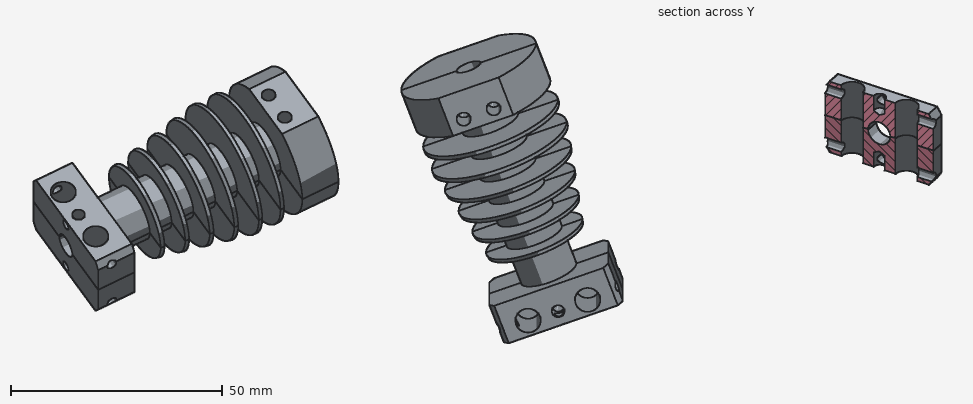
import cadquery as cq
import math


length = 65.0
outer_diameter = 34.0
bore_diameter = 6.0
barrel_diameter = 14.0

block_length = 10.0
block_width = 30.0
block_height = 20.0

cap_length = 10.0
cap_height = 30.4

fin_count = 6
fin_thickness = 1.0
fin_gap = 5.0
fin_span = 30.0
taper_end_diameter = 24.0

cross_hole_diameter = 6.0
cross_hole_spacing = 15.0
cross_hole_y = 3.8
pocket_diameter = 3.0
pocket_depth = 4.0
pocket_y = 3.5
screw_hole_diameter = 2.5
front_screw_z = 8.3
side_screw_z = 7.5

cap_hole_diameter = 3.3
cap_hole_spacing = 7.55
cap_hole_depth = 6.0
cap_hole_inset = 3.05

drill_point_angle = 118.0

outer_radius = outer_diameter / 2
cap_front_y = length - cap_length
first_fin_back_y = cap_front_y - fin_gap
fin_pitch = fin_span / (fin_count - 1)
taper_start_y = first_fin_back_y - fin_pitch - fin_thickness
taper_end_y = first_fin_back_y - fin_span - fin_thickness

AXIS = cq.Vector(0, 1, 0)


def rod(diameter, start_y, rod_length):
    """Cylinder around the Y axis."""
    return cq.Workplane(cq.Solid.makeCylinder(diameter / 2, rod_length, cq.Vector(0, start_y, 0), AXIS))


def slab(width, start_y, slab_length, height):
    """Box centred on the Y axis."""
    return cq.Workplane("XY").box(width, slab_length, height).translate((0, start_y + slab_length / 2, 0))


def drilled_hole(diameter, depth, mouth, direction):
    """Blind hole with a conical drill point, cut from the mouth along the direction."""
    radius = diameter / 2
    axis = cq.Vector(*direction)
    start = cq.Vector(*mouth)
    point_length = radius / math.tan(math.radians(drill_point_angle / 2))
    shaft = cq.Solid.makeCylinder(radius, depth, start, axis)
    point = cq.Solid.makeCone(radius, 0, point_length, start + axis * depth, axis)
    return cq.Workplane(shaft.fuse(point))


def fin_envelope():
    """Turned blank that limits the fins: a cylinder under the cap, then a cone."""
    return (
        cq.Workplane("XY")
        .moveTo(0, taper_end_y)
        .lineTo(taper_end_diameter / 2, taper_end_y)
        .lineTo(outer_radius, taper_start_y)
        .lineTo(outer_radius, cap_front_y)
        .lineTo(0, cap_front_y)
        .close()
        .revolve(360, (0, 0, 0), (0, 1, 0))
    )


def fins():
    discs = cq.Workplane("XY")
    for index in range(fin_count):
        front_y = first_fin_back_y - index * fin_pitch - fin_thickness
        discs = discs.add(rod(outer_diameter, front_y, fin_thickness))
    return discs.combine().intersect(fin_envelope())


def clamp_block():
    """Block with its long edges rounded by the stock diameter."""
    stock = rod(outer_diameter, 0, block_length)
    return stock.intersect(slab(block_width, 0, block_length, block_height))


def end_cap():
    stock = rod(outer_diameter, cap_front_y, cap_length)
    return stock.intersect(slab(outer_diameter, cap_front_y, cap_length, cap_height))


def cut_block_holes(body):
    half_spacing = cross_hole_spacing / 2
    for side in (-1, 1):
        cross_hole = (
            cq.Workplane("XY", origin=(side * half_spacing, cross_hole_y, -block_height / 2))
            .circle(cross_hole_diameter / 2)
            .extrude(block_height)
        )
        body = body.cut(cross_hole)
        for level in (-1, 1):
            screw_hole = cq.Solid.makeCylinder(
                screw_hole_diameter / 2,
                outer_radius - half_spacing,
                cq.Vector(side * half_spacing, cross_hole_y, level * side_screw_z),
                cq.Vector(side, 0, 0),
            )
            body = body.cut(cq.Workplane(screw_hole))
    for level in (-1, 1):
        mouth = (0, pocket_y, level * block_height / 2)
        body = body.cut(drilled_hole(pocket_diameter, pocket_depth, mouth, (0, 0, -level)))
        front_screw = rod(screw_hole_diameter, 0, pocket_y).translate((0, 0, level * front_screw_z))
        body = body.cut(front_screw)
    return body


def cut_cap_holes(body):
    for level in (-1, 1):
        for side in (-1, 1):
            mouth = (side * cap_hole_spacing / 2, cap_front_y + cap_hole_inset, level * cap_height / 2)
            body = body.cut(drilled_hole(cap_hole_diameter, cap_hole_depth, mouth, (0, 0, -level)))
    return body


def whole_body():
    body = rod(barrel_diameter, 0, length)
    for feature in (clamp_block(), fins(), end_cap()):
        body = body.union(feature)
    body = body.cut(rod(bore_diameter, 0, length))
    return cut_cap_holes(cut_block_holes(body))


def body_half(body, level):
    """The part of the body above (level = 1) or below (level = -1) the plane Z = 0."""
    half_space = slab(outer_diameter, 0, length, outer_radius).translate((0, 0, level * outer_radius / 2))
    return body.intersect(half_space)


body = whole_body()
upper_half = body_half(body, 1)
lower_half = body_half(body, -1)

result = cq.Compound.makeCompound([*upper_half.vals(), *lower_half.vals()])